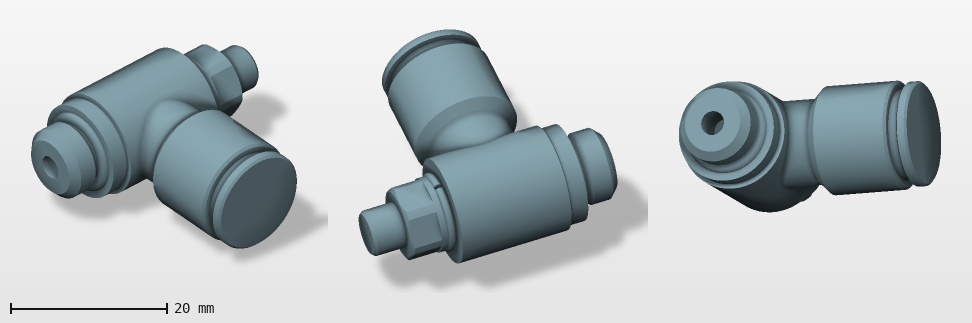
import cadquery as cq
import math


overall_length = 33.05

body_radius = 7.0
body_half_length = 7.47

thread_end_y = -15.05
flange_neck_radius = 6.35
flange_radius = 6.48
flange_start_y = -7.73
flange_end_y = -9.98
seal_radius = 5.5
seal_length = 0.63
seal_rounding = 0.83
relief_radius = 4.15
relief_end_y = -10.9
thread_radius = 4.8
thread_start_y = relief_end_y - (thread_radius - relief_radius)
thread_end_chamfer = 1.05
bore_radius = 1.55
bore_depth = 4.95

stem_end_y = thread_end_y + overall_length
stem_radius = 3.05
stem_chamfer_radial = 0.33
stem_chamfer_length = 0.43
collar_radius = 4.95
collar_start_y = 8.65
hex_start_y = 9.5
hex_end_y = 13.6
hex_across_flats = 9.1
hex_chamfer_radial = 0.55
hex_chamfer_length = 0.33
ring_wire_radius = 0.55
ring_outer_radius = 5.25
ring_gap = 0.55
ring_clearance = 0.03
ring_y = body_half_length + ring_clearance + ring_wire_radius
ring_seat_radius = 4.3
ring_shoulder_radius = 4.5
ring_shoulder_y = 8.23

branch_end_x = 23.25
branch_neck_radius = 5.52
junction_fillet = 0.5
socket_radius = body_radius
socket_cone_start_x = 9.25
socket_start_x = socket_cone_start_x + socket_radius - branch_neck_radius
socket_end_x = 20.52
socket_edge_chamfer = 0.33
cone_fillet = 0.5
sleeve_radius = 5.85
sleeve_end_x = 21.6
groove_radius = 5.7
groove_end_x = 21.87
rim_radius = 6.75
rim_start_x = 22.05
rim_chamfer = 0.3


def revolve_about_y(start_y, end_y, outline):
    """Solid of revolution about Y from (radius, y) outline points."""
    points = [(0, start_y)] + outline + [(0, end_y)]
    return cq.Workplane("XY").polyline(points).close().revolve(360, (0, 0, 0), (0, 1, 0))


def cylinder_along_y(radius, start_y, end_y):
    return revolve_about_y(start_y, end_y, [(radius, start_y), (radius, end_y)])


def make_barrel():
    return cylinder_along_y(body_radius, -body_half_length, body_half_length)


def make_branch():
    """Neck, cone, tube socket and release sleeve in one revolved outline about X."""
    branch = (
        cq.Workplane("XY")
        .moveTo(0, 0)
        .lineTo(0, branch_neck_radius)
        .lineTo(socket_cone_start_x, branch_neck_radius)
        .lineTo(socket_start_x, socket_radius)
        .lineTo(socket_end_x - socket_edge_chamfer, socket_radius)
        .lineTo(socket_end_x, socket_radius - socket_edge_chamfer)
        .lineTo(socket_end_x, sleeve_radius)
        .lineTo(sleeve_end_x, sleeve_radius)
        .lineTo(sleeve_end_x, groove_radius)
        .lineTo(groove_end_x, groove_radius)
        .lineTo(rim_start_x, sleeve_radius)
        .lineTo(rim_start_x, rim_radius)
        .lineTo(branch_end_x - rim_chamfer, rim_radius)
        .lineTo(branch_end_x, rim_radius - rim_chamfer)
        .lineTo(branch_end_x, 0)
        .close()
        .revolve(360, (0, 0, 0), (1, 0, 0))
    )
    selection_margin = 0.03
    cone_start = cq.selectors.BoxSelector(
        (socket_cone_start_x - selection_margin, -body_radius, -body_radius),
        (socket_cone_start_x + selection_margin, body_radius, body_radius),
        boundingbox=True,
    )
    return branch.edges(cone_start).fillet(cone_fillet)


def round_junction(tee):
    """Fillet the curve where the branch neck leaves the barrel."""
    selection_margin = 0.33
    reach = branch_neck_radius + selection_margin
    junction = cq.selectors.BoxSelector(
        (selection_margin, -reach, -reach),
        (body_radius + selection_margin, reach, reach),
        boundingbox=True,
    )
    return tee.edges(junction).fillet(junction_fillet)


def make_threaded_end():
    seal_end_y = flange_end_y - seal_length
    rounding_width = math.sqrt(seal_rounding**2 - (seal_rounding - seal_length) ** 2)
    seal_tip_radius = seal_radius - rounding_width
    seal_start = (seal_radius, flange_end_y)
    seal_tip = (seal_tip_radius, seal_end_y)
    return (
        cq.Workplane("XY")
        .moveTo(0, 0)
        .lineTo(flange_neck_radius, 0)
        .lineTo(flange_neck_radius, flange_start_y)
        .lineTo(flange_radius, flange_start_y)
        .lineTo(flange_radius, flange_end_y)
        .lineTo(*seal_start)
        .radiusArc(seal_tip, seal_rounding)
        .lineTo(relief_radius, seal_end_y)
        .lineTo(relief_radius, relief_end_y)
        .lineTo(thread_radius, thread_start_y)
        .lineTo(thread_radius, thread_end_y + thread_end_chamfer)
        .lineTo(thread_radius - thread_end_chamfer, thread_end_y)
        .lineTo(0, thread_end_y)
        .close()
        .revolve(360, (0, 0, 0), (0, 1, 0))
    )


def make_hex():
    """Hexagon with flats facing +-Z, corners turned to the collar size and top edge chamfered."""
    hex_length = hex_end_y - hex_start_y
    prism = (
        cq.Workplane("XZ", origin=(0, hex_start_y, 0))
        .polygon(6, hex_across_flats / math.cos(math.pi / 6))
        .extrude(-hex_length)
    )
    turned = revolve_about_y(
        hex_start_y,
        hex_end_y,
        [
            (collar_radius, hex_start_y),
            (collar_radius, hex_end_y - hex_chamfer_length),
            (collar_radius - hex_chamfer_radial, hex_end_y),
        ],
    )
    return prism.intersect(turned)


def make_adjusting_end():
    ring_seat = cylinder_along_y(ring_seat_radius, 0, ring_shoulder_y)
    ring_shoulder = cylinder_along_y(ring_shoulder_radius, ring_shoulder_y, collar_start_y)
    collar = cylinder_along_y(collar_radius, collar_start_y, hex_start_y)
    stem = revolve_about_y(
        hex_start_y,
        stem_end_y,
        [
            (stem_radius, hex_start_y),
            (stem_radius, stem_end_y - stem_chamfer_length),
            (stem_radius - stem_chamfer_radial, stem_end_y),
        ],
    )
    return ring_seat.union(ring_shoulder).union(collar).union(make_hex()).union(stem)


def make_split_ring():
    """Round-wire retaining ring with its gap facing +Z."""
    ring_radius = ring_outer_radius - ring_wire_radius
    wire_section = cq.Plane(origin=(ring_radius, ring_y, 0), xDir=(-1, 0, 0), normal=(0, 0, -1))
    ring = (
        cq.Workplane(wire_section)
        .circle(ring_wire_radius)
        .revolve(360, (ring_radius, 0, 0), (ring_radius, 1, 0))
    )
    gap = cq.Workplane("XY").box(
        ring_gap, 3 * ring_wire_radius, 2 * ring_outer_radius, centered=(True, True, False)
    )
    return ring.cut(gap.translate((0, ring_y, 0)))


def make_bore():
    return cylinder_along_y(bore_radius, thread_end_y, thread_end_y + bore_depth)


tee_body = round_junction(make_barrel().union(make_branch()))
result = (
    tee_body.union(make_threaded_end())
    .union(make_adjusting_end())
    .union(make_split_ring())
    .cut(make_bore())
)